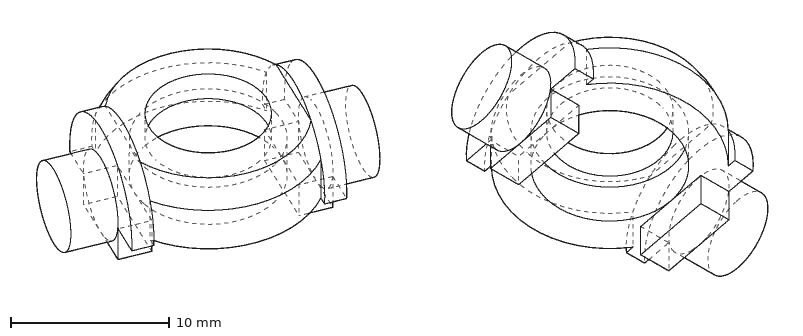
import cadquery as cq
import math

pin_radius = 3.0
pin_end_y = 10.5

flange_radius = 5.43
flange_inner_y = 5.8
flange_outer_y = 7.3

ring_radius = 7.5
ring_bottom_z = -0.5
ring_height = 5.0
ring_top_z = ring_bottom_z + ring_height
shoulder_radius = math.hypot(flange_radius, flange_inner_y)

bore_diameter = 8.0
counterbore_diameter = 10.0
counterbore_depth = 3.0

foot_width = 2 * pin_radius
foot_inner_y = 5.0
foot_bottom_z = -pin_radius


def rod_along_y(radius, start_y, end_y):
    """Cylinder on the Y axis from start_y to end_y, with start_y below end_y."""
    return cq.Workplane("XZ", origin=(0, start_y, 0)).circle(radius).extrude(start_y - end_y)


def make_ring():
    """Ring with a spherical shoulder, trimmed flat where the flanges join."""
    disc = cq.Workplane("XY", origin=(0, 0, ring_bottom_z)).circle(ring_radius).extrude(ring_height)
    rounded = disc.intersect(cq.Workplane("XY").sphere(shoulder_radius))
    trim = (
        cq.Workplane("XY", origin=(0, 0, ring_bottom_z))
        .rect(2 * ring_radius, 2 * flange_inner_y)
        .extrude(ring_height)
    )
    return rounded.intersect(trim)


def make_flange():
    """Disc around the pin axis, cut off level with the bottom of the ring."""
    disc = rod_along_y(flange_radius, flange_inner_y, flange_outer_y)
    keep = (
        cq.Workplane("XY", origin=(0, 0, ring_bottom_z))
        .rect(2 * flange_radius, 2 * flange_outer_y)
        .extrude(flange_radius - ring_bottom_z)
    )
    return disc.intersect(keep)


def make_foot():
    """Block under the flange, reaching down to the lowest line of the pin."""
    foot_length = flange_outer_y - foot_inner_y
    foot_middle_y = foot_inner_y + foot_length / 2
    return (
        cq.Workplane("XY", origin=(0, foot_middle_y, foot_bottom_z))
        .rect(foot_width, foot_length)
        .extrude(ring_bottom_z - foot_bottom_z)
    )


def make_trunnion():
    """Flange, foot and pin on the +Y side."""
    pin = rod_along_y(pin_radius, flange_outer_y, pin_end_y)
    return make_flange().union(make_foot()).union(pin)


def cut_bore(body):
    """Through bore along Z, counterbored from the bottom of the ring."""
    bottom = cq.Workplane("XY", origin=(0, 0, ring_bottom_z))
    bore = bottom.circle(bore_diameter / 2).extrude(ring_height)
    counterbore = bottom.circle(counterbore_diameter / 2).extrude(counterbore_depth)
    return body.cut(bore).cut(counterbore)


trunnion = make_trunnion()
body = make_ring().union(trunnion).union(trunnion.mirror("XZ"))
result = cut_bore(body)